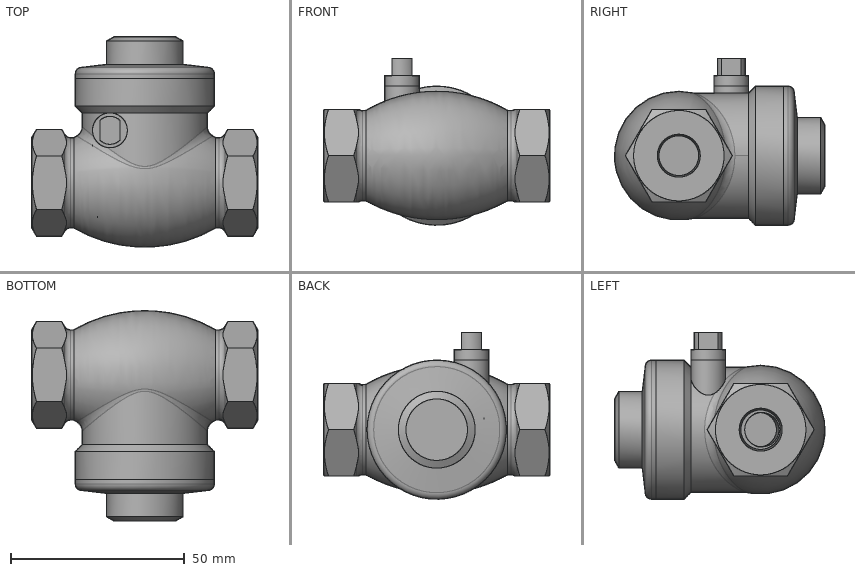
import cadquery as cq
import math


HALF_LENGTH = 32.5
BARREL_R = 18.5
BARREL_HALF_LENGTH = 20.4
END_R = 13.0
WALL = 3.25
HEX_FLATS = 26.65
HEX_LENGTH = 10.0
HEX_CHAMFER_ANGLE = 30.0
HEX_BLEND = 1.95

PORT_R = 6.2
PORT_DEPTH = 7.15
PORT_TAPER = 3.7

SEAT_X = -14.3
SEAT_Y = 0.4
SEAT_TILT = 4.0
SEAT_LENGTH = 10.4
SEAT_R = 7.8
SEAT_BORE_R = 4.95
FLAP_R = 6.5
FLAP_THICKNESS = 1.95

NECK_R = 18.0
NECK_BORE_R = 14.0
NECK_BLEND = 3.0
FLANGE_R = 20.0
FLANGE_Y = 22.05
COVER_Y = 30.0
COVER_ROUND_Y = 31.3
COVER_ROUND = 1.9
COVER_CROWN_Y = 34.05
COVER_TOP_Y = 42.0
COVER_BOSS_R = 11.05
COVER_BOSS_CHAMFER = 1.25
COVER_BOSS_TOP_R = 8.85

STEM_X = -10.0
STEM_Y = 15.1
STEM_COLLAR_R = 5.0
STEM_COLLAR_TOP_Z = 23.0
STEM_R = 4.0
STEM_FLATS = 5.85
STEM_TOP_Z = 27.95
STEM_BOSS_TOP_Z = FLANGE_R

hex_root_x = HALF_LENGTH - HEX_LENGTH
port_slope = math.tan(math.radians(PORT_TAPER))


def turned_about_x(profile):
    return profile.close().revolve(360, (0, 0, 0), (1, 0, 0))


def turned_about_y(profile):
    return profile.close().revolve(360, (0, 0, 0), (0, 1, 0))


def stem_cylinder(radius, bottom, top):
    """Cylinder on the hinge axis."""
    return cq.Workplane("XY", origin=(STEM_X, STEM_Y, bottom)).circle(radius).extrude(top - bottom)


def seat_cylinder(radius, length):
    """Cylinder standing on the tilted seat face; a negative length points to the inlet."""
    tilt = math.radians(SEAT_TILT)
    normal = (math.cos(tilt), math.sin(tilt), 0)
    seat = cq.Plane(origin=(SEAT_X, SEAT_Y, 0), xDir=(0, 0, 1), normal=normal)
    return cq.Workplane(seat).circle(radius).extrude(length)


def barrel(inset):
    """Barrel with its surface moved inwards by the inset."""
    return turned_about_x(
        cq.Workplane("XY")
        .moveTo(-BARREL_HALF_LENGTH, 0)
        .lineTo(-BARREL_HALF_LENGTH, inset - END_R)
        .threePointArc((0, inset - BARREL_R), (BARREL_HALF_LENGTH, inset - END_R))
        .lineTo(BARREL_HALF_LENGTH, 0)
    )


def bonnet():
    """Neck with its chamfered flange."""
    return turned_about_y(
        cq.Workplane("XY")
        .lineTo(NECK_R, 0)
        .lineTo(NECK_R, FLANGE_Y - (FLANGE_R - NECK_R))
        .lineTo(FLANGE_R, FLANGE_Y)
        .lineTo(FLANGE_R, COVER_Y)
        .lineTo(0, COVER_Y)
    )


def pipe_end(side):
    """Hexagon chamfered at both ends and blended into the barrel, on the -X (-1) or +X (+1) side."""
    corner_r = HEX_FLATS / math.sqrt(3)
    chamfer = (corner_r - END_R) * math.tan(math.radians(HEX_CHAMFER_ANGLE))
    cone_angle = math.radians(90 - HEX_CHAMFER_ANGLE)
    blend_start_x = hex_root_x - HEX_BLEND * math.tan(cone_angle / 2)
    blend_end_x = blend_start_x + HEX_BLEND * math.sin(cone_angle)
    blend_end_r = END_R + HEX_BLEND * (1 - math.cos(cone_angle))
    envelope = turned_about_x(
        cq.Workplane("XY")
        .moveTo(side * BARREL_HALF_LENGTH, 0)
        .lineTo(side * BARREL_HALF_LENGTH, END_R)
        .lineTo(side * blend_start_x, END_R)
        .tangentArcPoint((side * blend_end_x, blend_end_r), relative=False)
        .lineTo(side * (hex_root_x + chamfer), corner_r)
        .lineTo(side * (HALF_LENGTH - chamfer), corner_r)
        .lineTo(side * HALF_LENGTH, END_R)
        .lineTo(side * HALF_LENGTH, 0)
    )
    hexagon = (
        cq.Workplane("YZ", origin=(side * BARREL_HALF_LENGTH, 0, 0))
        .polygon(6, 2 * corner_r)
        .extrude(side * (HALF_LENGTH - BARREL_HALF_LENGTH))
    )
    return hexagon.intersect(envelope)


def port(side, depth):
    """Tapered pipe port."""
    floor_x = side * (HALF_LENGTH - depth)
    return turned_about_x(
        cq.Workplane("XY")
        .moveTo(side * HALF_LENGTH, 0)
        .lineTo(side * HALF_LENGTH, PORT_R)
        .lineTo(floor_x, PORT_R - depth * port_slope)
        .lineTo(floor_x, 0)
    )


def build_housing():
    body = barrel(0).union(bonnet())
    body = body.edges("not(%CIRCLE or %LINE)").fillet(NECK_BLEND)

    for side in (-1, 1):
        body = body.union(pipe_end(side))
    body = body.union(stem_cylinder(STEM_COLLAR_R, 0, STEM_BOSS_TOP_Z))

    inlet_side = seat_cylinder(HALF_LENGTH, -HALF_LENGTH)
    neck_bore = cq.Workplane("XZ").circle(NECK_BORE_R).extrude(-COVER_Y)
    body = body.cut(barrel(WALL).cut(inlet_side)).cut(neck_bore)

    seat_pocket = seat_cylinder(SEAT_R, -SEAT_LENGTH)
    inlet = port(-1, HALF_LENGTH + SEAT_X).cut(seat_pocket)
    body = body.cut(inlet).cut(seat_pocket)

    passage_r = PORT_R - PORT_DEPTH * port_slope
    passage = cq.Workplane("YZ").circle(passage_r).extrude(HALF_LENGTH - PORT_DEPTH)
    return body.cut(port(1, PORT_DEPTH)).cut(passage)


def build_cover():
    """Round cover with a rounded rim, a slightly conical crown and a chamfered boss."""
    return turned_about_y(
        cq.Workplane("XY")
        .moveTo(0, COVER_Y)
        .lineTo(FLANGE_R, COVER_Y)
        .lineTo(FLANGE_R, COVER_ROUND_Y)
        .tangentArcPoint((FLANGE_R - COVER_ROUND, COVER_ROUND_Y + COVER_ROUND), relative=False)
        .lineTo(COVER_BOSS_R, COVER_CROWN_Y)
        .lineTo(COVER_BOSS_R, COVER_TOP_Y - COVER_BOSS_CHAMFER)
        .lineTo(COVER_BOSS_TOP_R, COVER_TOP_Y)
        .lineTo(0, COVER_TOP_Y)
    )


def build_stem():
    """Collar standing on the housing boss, with a two-flat drive end."""
    flats = (
        cq.Workplane("XY", origin=(STEM_X, STEM_Y, STEM_COLLAR_TOP_Z))
        .rect(STEM_FLATS, 2 * STEM_R)
        .extrude(STEM_TOP_Z - STEM_COLLAR_TOP_Z)
    )
    drive = stem_cylinder(STEM_R, STEM_COLLAR_TOP_Z, STEM_TOP_Z).intersect(flats)
    return stem_cylinder(STEM_COLLAR_R, STEM_BOSS_TOP_Z, STEM_COLLAR_TOP_Z).union(drive)


def build_seat_ring():
    """Tilted ring between the inlet port and the chamber."""
    return seat_cylinder(SEAT_R, -SEAT_LENGTH).cut(seat_cylinder(SEAT_BORE_R, -SEAT_LENGTH))


def build_flap():
    """Disc closing the seat ring."""
    return seat_cylinder(FLAP_R, FLAP_THICKNESS)


housing = build_housing()
cover = build_cover()
stem = build_stem()
seat_ring = build_seat_ring()
flap = build_flap()

bodies = [housing, cover, stem, seat_ring, flap]
result = cq.Compound.makeCompound([body.solids().val() for body in bodies])